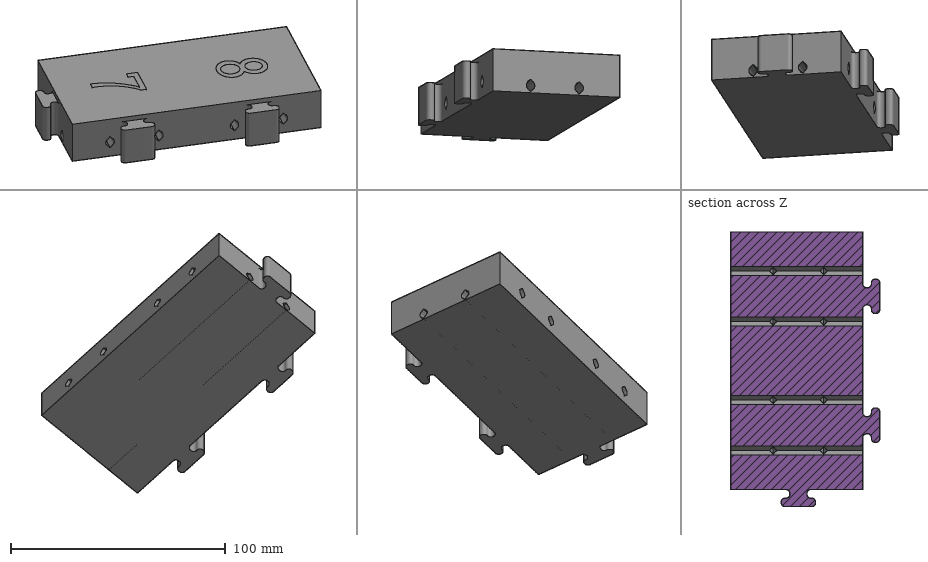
import cadquery as cq
import math

cell = 60.0
side_margin = 1.5
tile_height = 20.0
tile_length = 2 * cell
east_face = cell / 2
west_face = -cell / 2 - side_margin
south_face = -cell
cell_centres_y = (-cell / 2, cell / 2)

connector_reach = 7.9
connector_height = 17.7
neck_width = 8.0
head_width = 16.1
round_radius = 1.8

hole_radius = 2.0
hole_offset = 11.8
long_hole_z = 3.5
cross_hole_z = 7.5
hole_tip = hole_radius * math.sqrt(2)
hole_tangent = hole_radius / math.sqrt(2)

inlay_depth = 0.8
inlay_floor = tile_height - inlay_depth

eight_centre_x = -0.3
eight_loop_offset = 5.6
eight_upper_radii = (7.2, 6.5)
eight_lower_radii = (7.8, 6.5)
eight_upper_opening_radii = (4.0, 4.1)
eight_lower_opening_radii = (4.5, 4.5)

seven_left = -8.6
seven_right = 7.7
seven_top = 11.9
seven_bottom = -12.2
seven_bar_underside = 9.2
seven_tick_bottom = 6.5
seven_tick_right = -5.5
seven_bar_inner_corner = 4.7
seven_stem_outer_middle = (1.4, -0.1)
seven_stem_inner_middle = (-1.3, -0.1)
seven_foot_right = -0.5
seven_foot_left = -4.0


def make_connector():
    """Connector that points along +X from a wall at x = 0, standing on z = 0."""
    head_start = connector_reach / 2
    neck_half = neck_width / 2
    head_half = head_width / 2
    half = (
        cq.Workplane("XY")
        .moveTo(0, -neck_half - round_radius)
        .radiusArc((round_radius, -neck_half), round_radius)
        .lineTo(head_start - round_radius, -neck_half)
        .radiusArc((head_start, -neck_half - round_radius), round_radius)
        .lineTo(head_start, -head_half + round_radius)
        .radiusArc((head_start + round_radius, -head_half), -round_radius)
        .lineTo(connector_reach - round_radius, -head_half)
        .radiusArc((connector_reach, -head_half + round_radius), -round_radius)
        .lineTo(connector_reach, 0)
        .lineTo(0, 0)
        .close()
        .extrude(connector_height)
    )
    return half.union(half.mirror("XZ")).clean()


def make_pointed_hole(plane, across, z, start, length):
    """Cutter with a pointed round profile, centred at (across, z) on the given plane."""
    return (
        cq.Workplane(plane)
        .workplane(offset=start)
        .moveTo(across, z + hole_tip)
        .lineTo(across + hole_tangent, z + hole_tangent)
        .threePointArc((across + hole_radius, z), (across + hole_tangent, z - hole_tangent))
        .lineTo(across, z - hole_tip)
        .lineTo(across - hole_tangent, z - hole_tangent)
        .threePointArc((across - hole_radius, z), (across - hole_tangent, z + hole_tangent))
        .close()
        .extrude(length)
    )


def make_oval(centre_y, radii):
    """Oval slab of inlay thickness on the centre line of the digit 8."""
    return (
        cq.Workplane("XY", origin=(eight_centre_x, centre_y, inlay_floor))
        .ellipse(*radii)
        .extrude(inlay_depth)
    )


def make_eight(centre_y):
    upper_y = centre_y + eight_loop_offset
    lower_y = centre_y - eight_loop_offset
    return (
        make_oval(upper_y, eight_upper_radii)
        .union(make_oval(lower_y, eight_lower_radii))
        .cut(make_oval(upper_y, eight_upper_opening_radii))
        .cut(make_oval(lower_y, eight_lower_opening_radii))
    )


def make_seven(centre_y):
    return (
        cq.Workplane("XY", origin=(0, centre_y, inlay_floor))
        .moveTo(seven_left, seven_top)
        .lineTo(seven_right, seven_top)
        .lineTo(seven_right, seven_bar_underside)
        .threePointArc(seven_stem_outer_middle, (seven_foot_right, seven_bottom))
        .lineTo(seven_foot_left, seven_bottom)
        .threePointArc(seven_stem_inner_middle, (seven_bar_inner_corner, seven_bar_underside))
        .lineTo(seven_tick_right, seven_bar_underside)
        .lineTo(seven_tick_right, seven_tick_bottom)
        .lineTo(seven_left, seven_tick_bottom)
        .close()
        .extrude(inlay_depth)
    )


def make_tile(inlays):
    tile_width = east_face - west_face
    tile = cq.Workplane("XY", origin=(west_face, south_face, 0)).box(
        tile_width, tile_length, tile_height, centered=False
    )

    for y in cell_centres_y:
        tile = tile.union(make_connector().translate((east_face, y, 0)))
    south_connector = make_connector().rotate((0, 0, 0), (0, 0, 1), -90)
    tile = tile.union(south_connector.translate((0, south_face, 0)))

    for side in (-hole_offset, hole_offset):
        tile = tile.cut(make_pointed_hole("XZ", side, long_hole_z, -cell, tile_length))
        for y in cell_centres_y:
            tile = tile.cut(make_pointed_hole("YZ", y + side, cross_hole_z, west_face, tile_width))

    for inlay in inlays:
        tile = tile.cut(inlay)
    return tile


seven = make_seven(cell_centres_y[0])
eight = make_eight(cell_centres_y[1])
tile = make_tile([seven, eight])

result = cq.Compound.makeCompound([tile.val(), seven.val(), eight.val()])